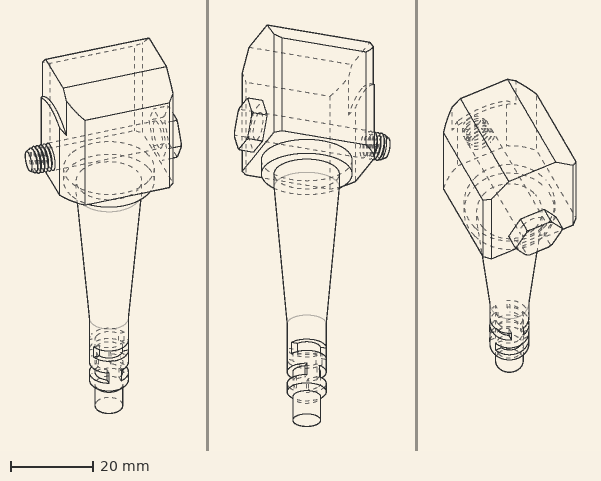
import cadquery as cq
import math

block_half_width = 12.6
block_height = 31.6
back_y = 12.6
front_y = -15.1
roof_bevel = 6.2
back_chamfer = 1.5
front_flat_half_width = 6.7
side_front_y = -10.7
corner_bulge = 0.4

recess_depth = 1.0
recess_radius = 14.8

collar_diameter = 22.0
collar_height = 3.8
neck_diameter = 15.9
neck_height = 3.6
taper_height = 37.3
sleeve_diameter = 9.5
core_diameter = 6.8
sleeve_chamfer = 1.38
stem_bottom_z = block_height - 102.4
tail_height = 6.4

groove_height = 3.1
groove_spacing = 6.6
upper_groove_drop = 6.6
rib_width = 3.2

bolt_z = 7.0
bolt_diameter = 6.8
hex_across_flats = 11.1
hex_height = 3.9
hex_edge_chamfer = 0.3
stud_length = 5.6
tip_diameter = 4.9
tip_length = 1.6
thread_root_diameter = 5.3
thread_pitch = 0.9
thread_turns = 5

overcut = 5.1

collar_bottom_z = -collar_height
neck_bottom_z = collar_bottom_z - neck_height
sleeve_top_z = neck_bottom_z - taper_height
sleeve_bottom_z = stem_bottom_z + tail_height


def make_block():
    """Head block with curved front corners, chamfered back corners and a bevelled roof."""
    chord_x = block_half_width - front_flat_half_width
    chord_y = side_front_y - front_y
    chord = math.hypot(chord_x, chord_y)
    bulge_x = (block_half_width + front_flat_half_width) / 2 + corner_bulge * chord_y / chord
    bulge_y = (side_front_y + front_y) / 2 - corner_bulge * chord_x / chord
    body = (
        cq.Workplane("XY")
        .moveTo(-front_flat_half_width, front_y)
        .lineTo(front_flat_half_width, front_y)
        .threePointArc((bulge_x, bulge_y), (block_half_width, side_front_y))
        .lineTo(block_half_width, back_y - back_chamfer)
        .lineTo(block_half_width - back_chamfer, back_y)
        .lineTo(-block_half_width + back_chamfer, back_y)
        .lineTo(-block_half_width, back_y - back_chamfer)
        .lineTo(-block_half_width, side_front_y)
        .threePointArc((-bulge_x, bulge_y), (-front_flat_half_width, front_y))
        .close()
        .extrude(block_height)
    )
    roof_half_width = block_half_width - roof_bevel
    gable = (
        cq.Workplane("XZ", origin=(0, back_y, 0))
        .polyline([
            (-block_half_width, 0),
            (block_half_width, 0),
            (block_half_width, block_height - roof_bevel),
            (roof_half_width, block_height),
            (-roof_half_width, block_height),
            (-block_half_width, block_height - roof_bevel),
        ])
        .close()
        .extrude(back_y - front_y)
    )
    return body.intersect(gable)


def make_front_recess():
    """Shallow cut in the upper front face, ending on an arc about the bolt axis."""
    slab = cq.Workplane("XY").box(
        2 * block_half_width, recess_depth + overcut, block_height, centered=(True, False, False)
    ).translate((0, front_y - overcut, bolt_z))
    boss = (
        cq.Workplane("XZ", origin=(0, back_y, bolt_z))
        .circle(recess_radius)
        .extrude(back_y - front_y + 2 * overcut)
    )
    return slab.cut(boss)


def make_stem():
    """Turned stem: collar, neck, taper, sleeve and tail."""
    core_radius = core_diameter / 2
    sleeve_radius = sleeve_diameter / 2
    neck_radius = neck_diameter / 2
    collar_radius = collar_diameter / 2
    return (
        cq.Workplane("XZ")
        .polyline([
            (0, 0),
            (collar_radius, 0),
            (collar_radius, collar_bottom_z),
            (neck_radius, collar_bottom_z),
            (neck_radius, neck_bottom_z),
            (sleeve_radius, sleeve_top_z),
            (sleeve_radius, sleeve_bottom_z + sleeve_chamfer),
            (core_radius, sleeve_bottom_z),
            (core_radius, stem_bottom_z),
            (0, stem_bottom_z),
        ])
        .close()
        .revolve(360, (0, 0, 0), (0, 1, 0))
    )


def make_ribbed_groove(top_z, rib_angle):
    """Ring groove down to the core, interrupted by two opposite parallel-sided ribs."""
    ring = (
        cq.Workplane("XY", origin=(0, 0, top_z - groove_height))
        .circle(sleeve_diameter / 2 + overcut)
        .circle(core_diameter / 2)
        .extrude(groove_height)
    )
    rib = (
        cq.Workplane("XY", origin=(0, 0, top_z - groove_height))
        .rect(sleeve_diameter + 4 * overcut, rib_width)
        .extrude(groove_height)
        .rotate((0, 0, 0), (0, 0, 1), rib_angle)
    )
    return ring.cut(rib)


def make_bolt_hole():
    return (
        cq.Workplane("XZ", origin=(0, back_y, bolt_z))
        .circle(bolt_diameter / 2)
        .extrude(back_y - front_y)
    )


def make_housing():
    housing = make_block().cut(make_front_recess()).union(make_stem())
    for index, rib_angle in enumerate((90, 0)):
        top_z = sleeve_top_z - upper_groove_drop - index * groove_spacing
        housing = housing.cut(make_ribbed_groove(top_z, rib_angle))
    return housing.cut(make_bolt_hole())


def revolve_about_bolt_axis(profile):
    """Solid of revolution from (radius, y) points."""
    return (
        cq.Workplane("XY", origin=(0, 0, bolt_z))
        .polyline(profile)
        .close()
        .revolve(360, (0, 0, 0), (0, 1, 0))
    )


def make_bolt():
    """Hex bolt along Y, its threaded end standing out of the front face."""
    tip_y = front_y - stud_length
    radius = bolt_diameter / 2
    shank_profile = [(0, back_y), (radius, back_y), (radius, front_y)]
    for turn in range(thread_turns):
        crest_y = front_y - turn * thread_pitch
        shank_profile.append((thread_root_diameter / 2, crest_y - thread_pitch / 2))
        shank_profile.append((radius, crest_y - thread_pitch))
    shank_profile += [(radius, tip_y), (0, tip_y)]
    tapered_profile = [
        (0, back_y),
        (radius, back_y),
        (radius, tip_y + tip_length),
        (tip_diameter / 2, tip_y),
        (0, tip_y),
    ]
    shank = revolve_about_bolt_axis(shank_profile).intersect(revolve_about_bolt_axis(tapered_profile))
    corner_diameter = hex_across_flats / math.cos(math.pi / 6)
    head = (
        cq.Workplane("XZ", origin=(0, back_y + hex_height, bolt_z))
        .polygon(6, corner_diameter)
        .extrude(hex_height)
    )
    corner_trim = (
        cq.Workplane("XZ", origin=(0, back_y + hex_height, bolt_z))
        .circle(corner_diameter / 2)
        .extrude(hex_height)
        .faces(">Y")
        .chamfer(hex_edge_chamfer)
    )
    return head.intersect(corner_trim).union(shank)


housing = make_housing()
bolt = make_bolt()
result = cq.Compound.makeCompound([housing.val(), bolt.val()])